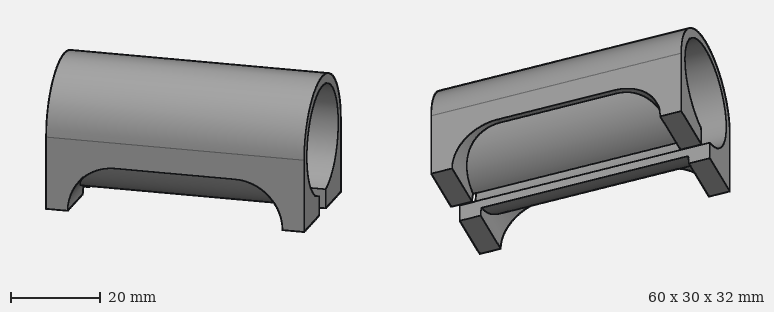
import cadquery as cq

length = 60.0
width = 30.0
axis_height = 17.0
bore_diameter = 25.45
slot_width = 5.15
foot_length = 5.05
relief_height = 11.0

outer_radius = width / 2
relief_length = length - 2 * foot_length


def lengthwise_cylinder(diameter):
    """Full-length cylinder on the bore axis."""
    return (
        cq.Workplane("YZ", origin=(-length / 2, 0, axis_height))
        .circle(diameter / 2)
        .extrude(length)
    )


def side_relief():
    """Arch through the base whose ends are quarter rounds as tall as the arch."""
    half = relief_length / 2
    flat_half = half - relief_height
    return (
        cq.Workplane("XZ")
        .moveTo(-half, 0)
        .radiusArc((-flat_half, relief_height), relief_height)
        .lineTo(flat_half, relief_height)
        .radiusArc((half, 0), relief_height)
        .close()
        .extrude(outer_radius, both=True)
    )


base = cq.Workplane("XY").box(length, width, axis_height, centered=(True, True, False))
base = base.cut(side_relief())
body = base.union(lengthwise_cylinder(width))

slot = cq.Workplane("XY").box(length, slot_width, axis_height, centered=(True, True, False))
result = body.cut(lengthwise_cylinder(bore_diameter)).cut(slot)